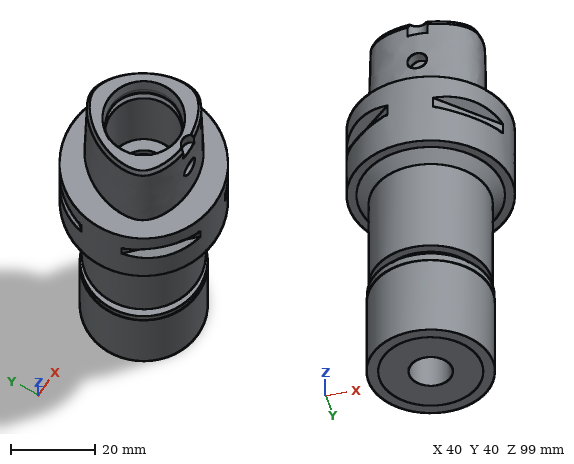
import cadquery as cq
import math

total_height = 99.0
flange_top = 75.0
flange_bottom = 55.0
barrel_bottom = 26.7
nut_top = 23.9
collar_bottom = 21.8

flange_radius = 20.0
barrel_radius = 14.8
cone_radius = 17.6
neck_radius = 12.5
nut_radius = 15.2
nut_collar_radius = 15.1
bore_radius = 5.2

shank_base_radius = 14.2
shank_lobe = 1.0
shank_taper = 1 / 40
shank_chamfer_height = 1.4
shank_chamfer_inset = 0.7
outline_points = 48

mouth_radius = 9.8
mouth_depth = 3.3
socket_radius = 9.2
groove_radius = 10.1
groove_top_depth = 4.8
groove_end_depth = 7.9
socket_depth = 29.7
step_radius = 6.2
step_depth = 2.0

notch_radius = 2.62
notch_depth = 4.1
notch_apex = 10.8
side_hole_radius = 2.4
side_hole_height = 86.4
side_hole_floor = 9.9

slot_count = 4
slot_height = 67.0
slot_floor_distance = 17.5
slot_floor_width = 2.7
slot_overcut = 1.0
slot_side_slope = 0.5


def cylinder(radius, bottom, top):
    return cq.Workplane("XY").workplane(offset=bottom).circle(radius).extrude(top - bottom)


def lobed_wire(radius, height):
    """Constant-width outline with lobes at +Y and at 120 degrees to either side."""
    points = []
    for i in range(outline_points):
        angle = 2 * math.pi * i / outline_points
        reach = radius + shank_lobe * math.cos(3 * angle)
        slide = -3 * shank_lobe * math.sin(3 * angle)
        x = -reach * math.sin(angle) - slide * math.cos(angle)
        y = reach * math.cos(angle) - slide * math.sin(angle)
        points.append(cq.Vector(x, y, height))
    return cq.Wire.assembleEdges([cq.Edge.makeSpline(points, periodic=True)])


def make_shank():
    chamfer_bottom = total_height - shank_chamfer_height
    upper_radius = shank_base_radius - shank_taper * (chamfer_bottom - flange_top)
    base = lobed_wire(shank_base_radius, flange_top)
    upper = lobed_wire(upper_radius, chamfer_bottom)
    tip = lobed_wire(upper_radius - shank_chamfer_inset, total_height)
    taper = cq.Workplane(obj=cq.Solid.makeLoft([base, upper], True))
    return taper.union(cq.Workplane(obj=cq.Solid.makeLoft([upper, tip], True)))


def make_turned_body():
    cone_bottom = flange_bottom - (cone_radius - barrel_radius)
    profile = [
        (0, 0),
        (neck_radius, 0),
        (neck_radius, barrel_bottom),
        (barrel_radius, barrel_bottom),
        (barrel_radius, cone_bottom),
        (cone_radius, flange_bottom),
        (flange_radius, flange_bottom),
        (flange_radius, flange_top),
        (0, flange_top),
    ]
    return cq.Workplane("XZ").polyline(profile).close().revolve(360, (0, 0), (0, 1))


def make_bore():
    socket_floor = total_height - socket_depth
    groove_end = total_height - groove_end_depth
    groove_bottom = groove_end + (groove_radius - socket_radius)
    profile = [
        (0, 0),
        (bore_radius, 0),
        (bore_radius, socket_floor - step_depth),
        (step_radius, socket_floor - step_depth),
        (step_radius, socket_floor),
        (socket_radius, socket_floor),
        (socket_radius, groove_end),
        (groove_radius, groove_bottom),
        (groove_radius, total_height - groove_top_depth),
        (socket_radius, total_height - groove_top_depth),
        (socket_radius, total_height - mouth_depth),
        (mouth_radius, total_height),
        (0, total_height),
    ]
    return cq.Workplane("XZ").polyline(profile).close().revolve(360, (0, 0), (0, 1))


def make_notch():
    notch = cylinder(notch_radius, total_height - notch_depth, total_height)
    return notch.translate((0, -notch_apex - notch_radius, 0))


def make_side_hole():
    """Blind radial hole in the -Y side of the shank."""
    floor = cq.Workplane("XZ", origin=(0, -side_hole_floor, side_hole_height))
    return floor.circle(side_hole_radius).extrude(flange_radius - side_hole_floor)


def make_gripper_slot(angle):
    mouth_distance = flange_radius + slot_overcut
    depth = mouth_distance - slot_floor_distance
    floor_half = slot_floor_width / 2
    mouth_half = floor_half + depth * slot_side_slope
    section = [
        (slot_floor_distance, slot_height - floor_half),
        (mouth_distance, slot_height - mouth_half),
        (mouth_distance, slot_height + mouth_half),
        (slot_floor_distance, slot_height + floor_half),
    ]
    slot = cq.Workplane("XZ").polyline(section).close().extrude(flange_radius, both=True)
    return slot.rotate((0, 0, 0), (0, 0, 1), angle)


def make_holder():
    body = make_turned_body().union(make_shank())
    body = body.cut(make_bore()).cut(make_notch()).cut(make_side_hole())
    for i in range(slot_count):
        body = body.cut(make_gripper_slot((i + 0.5) * 360 / slot_count))
    return body


def make_nut():
    """Clamping nut around the neck, with a slightly smaller collar at its upper end."""
    nut = cylinder(nut_radius, 0, collar_bottom)
    nut = nut.union(cylinder(nut_collar_radius, collar_bottom, nut_top))
    return nut.cut(cylinder(neck_radius, 0, nut_top))


holder = make_holder()
nut = make_nut()

result = cq.Compound.makeCompound([holder.val(), nut.val()])